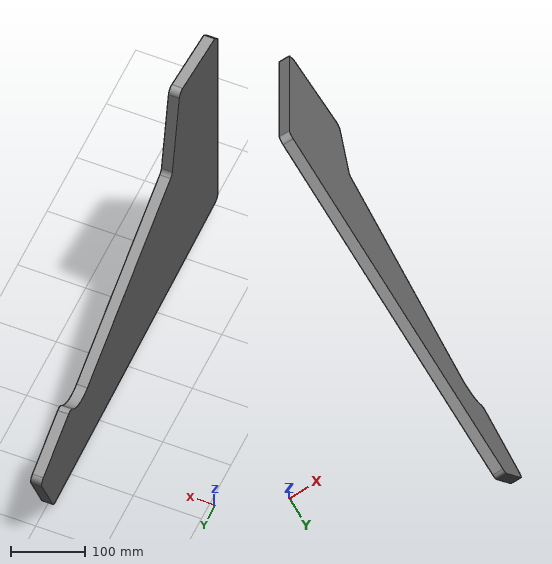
import cadquery as cq
import math

thickness = 16.0
corner_radius = 10.0
back_chamfer = 11.0

bottom_slope = math.radians(2)
ramp_slope = math.radians(24.3)
head_tilt = math.radians(10)

back_bottom_z = 19.5
back_top_z = 378.5
head_depth = 129.0
wall_foot_y = 155.0
tip_y = 600.5
tip_z = 97.0
notch_radius = 42.0
notch_center_y = 459.0

head_z = back_top_z + head_depth * math.tan(head_tilt)
wall_foot_z = head_z - (wall_foot_y - head_depth) / math.tan(head_tilt)

end_slope = 1 / math.tan(ramp_slope)
bottom_fall = math.tan(bottom_slope)
heel_y = (back_bottom_z - tip_z + end_slope * tip_y) / (end_slope + bottom_fall)
heel_z = back_bottom_z - bottom_fall * heel_y

ramp_fall = math.tan(ramp_slope)
notch_center_z = (
    wall_foot_z
    - ramp_fall * (notch_center_y - wall_foot_y)
    + notch_radius / math.cos(ramp_slope)
)
lip_z_at_center = tip_z + ramp_fall * (tip_y - notch_center_y)
lip_offset = (notch_center_z - lip_z_at_center) * math.cos(ramp_slope)
ramp_end_angle = -math.pi / 2 - ramp_slope
lip_angle = -ramp_slope - math.asin(lip_offset / notch_radius)


def notch_point(angle):
    """Point (Y, Z) on the notch circle, with the angle measured from +Y towards +Z."""
    return (
        notch_center_y + notch_radius * math.cos(angle),
        notch_center_z + notch_radius * math.sin(angle),
    )


notch_start = notch_point(ramp_end_angle)
notch_bottom = notch_point(-math.pi / 2)
notch_end = notch_point(lip_angle)

plate = (
    cq.Workplane("YZ")
    .moveTo(0, back_bottom_z)
    .lineTo(0, back_top_z)
    .lineTo(head_depth, head_z)
    .lineTo(wall_foot_y, wall_foot_z)
    .lineTo(*notch_start)
    .threePointArc(notch_bottom, notch_end)
    .lineTo(tip_y, tip_z)
    .lineTo(heel_y, heel_z)
    .close()
    .extrude(thickness / 2, both=True)
)


def corner_edge(body, y, z):
    """Edge through the thickness at the outline corner (y, z)."""
    return body.edges("|X").edges(cq.selectors.NearestToPointSelector((0, y, z)))


rounded_corners = [
    (0, back_bottom_z),
    (head_depth, head_z),
    (wall_foot_y, wall_foot_z),
    notch_end,
    (tip_y, tip_z),
    (heel_y, heel_z),
]
for corner_y, corner_z in rounded_corners:
    plate = corner_edge(plate, corner_y, corner_z).fillet(corner_radius)

result = corner_edge(plate, 0, back_top_z).chamfer(back_chamfer)